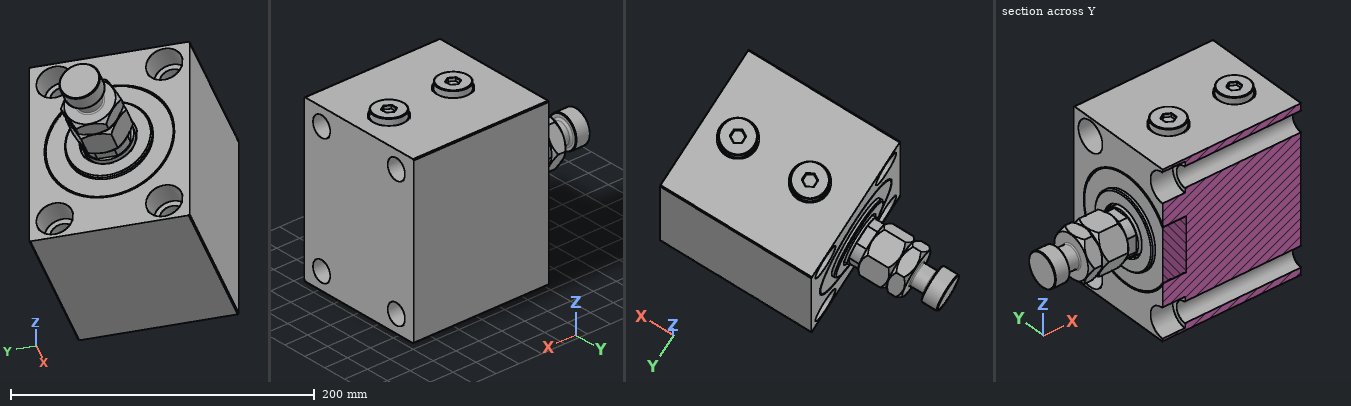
import cadquery as cq
import math

total_length = 190.0

block_length = 118.0
block_width = 110.0
block_height = 140.0
block_edge_chamfer = 0.8
block_front = total_length - block_length

mount_spacing_y = 75.0
mount_spacing_z = 110.0
mount_hole_diameter = 17.3
mount_counterbore_diameter = 25.0
mount_counterbore_depth = 19.0

gland_diameter = 87.4
gland_depth = 20.0
gland_seat_chamfer = 1.0
gland_collar_diameter = 60.0
gland_collar_height = 3.0
gland_collar_chamfer = 1.0
wiper_recess_diameter = 39.5
gland_front = block_front - gland_collar_height
gland_back = block_front + gland_depth

rod_diameter = 36.1
rod_neck_diameter = 34.8
rod_flats = 32.0
rod_front = 59.3
rod_shoulder = 67.3

head_diameter = 28.0
head_length = 12.5
head_chamfer = 0.5
neck_diameter = 18.0
neck_head_fillet = 1.7
neck_hex_fillet = 1.0
hex_flats = 36.0
hex_end_diameter = 35.3
short_hex_front = 24.9
long_hex_front = 37.0

plug_diameter = 25.8
plug_height = 5.0
plug_depth = 9.5
plug_chamfer = 0.5
plug_seat_diameter = 28.1
plug_seat_depth = 1.0
plug_socket_flats = 8.7
plug_socket_chamfer = 0.4
plug_socket_depth = 2.8
first_plug_x = block_front + 35.7
plug_spacing = 56.0
plug_positions = [first_plug_x, first_plug_x + plug_spacing]
block_top = block_height / 2


def x_cylinder(diameter, start, end):
    """Cylinder on the rod axis from X = start to X = end."""
    return cq.Workplane("YZ", origin=(start, 0, 0)).circle(diameter / 2).extrude(end - start)


def z_cylinder(diameter, x, bottom, top):
    """Upright cylinder at (x, 0) from Z = bottom to Z = top."""
    return cq.Workplane("XY", origin=(x, 0, bottom)).circle(diameter / 2).extrude(top - bottom)


def make_housing():
    block = (
        cq.Workplane("XY")
        .box(block_length, block_width, block_height)
        .translate((block_front + block_length / 2, 0, 0))
        .edges("|X")
        .chamfer(block_edge_chamfer)
    )
    block = (
        block.faces("<X")
        .workplane(origin=(block_front, 0, 0))
        .rarray(mount_spacing_y, mount_spacing_z, 2, 2)
        .cboreHole(mount_hole_diameter, mount_counterbore_diameter, mount_counterbore_depth)
    )
    gland_seat = x_cylinder(gland_diameter, block_front, gland_back)
    gland_radius = gland_diameter / 2
    seat_countersink = cq.Workplane(
        cq.Solid.makeCone(
            gland_radius + gland_seat_chamfer,
            gland_radius,
            gland_seat_chamfer,
            pnt=cq.Vector(block_front, 0, 0),
            dir=cq.Vector(1, 0, 0),
        )
    )
    block = block.cut(gland_seat).cut(seat_countersink)
    for x in plug_positions:
        block = block.cut(z_cylinder(plug_diameter, x, block_top - plug_depth, block_top))
        block = block.cut(z_cylinder(plug_seat_diameter, x, block_top - plug_seat_depth, block_top))
    return block


def make_gland():
    collar = (
        x_cylinder(gland_collar_diameter, gland_front, block_front)
        .faces("<X")
        .edges()
        .chamfer(gland_collar_chamfer)
    )
    gland = x_cylinder(gland_diameter, block_front, gland_back).union(collar)
    wiper_recess = x_cylinder(wiper_recess_diameter, gland_front, block_front)
    rod_bore = x_cylinder(rod_diameter, gland_front, gland_back)
    return gland.cut(wiper_recess).cut(rod_bore)


def make_rod():
    neck_length = rod_shoulder - rod_front
    flats = (
        cq.Workplane("YZ", origin=(rod_front, 0, 0))
        .rect(rod_flats, rod_flats)
        .extrude(neck_length)
    )
    neck = x_cylinder(rod_neck_diameter, rod_front, rod_shoulder).intersect(flats)
    return x_cylinder(rod_diameter, rod_shoulder, gland_back).union(neck)


def make_hexagon(start, end):
    """Hexagon along X with corners at +Y and -Y, chamfered at 45 degrees on both ends."""
    corner_diameter = hex_flats / math.cos(math.pi / 6)
    prism = cq.Workplane("YZ", origin=(start, 0, 0)).polygon(6, corner_diameter).extrude(end - start)
    envelope = (
        x_cylinder(corner_diameter, start, end)
        .faces("<X or >X")
        .edges()
        .chamfer((corner_diameter - hex_end_diameter) / 2)
    )
    return prism.intersect(envelope)


def make_coupling():
    head_radius = head_diameter / 2
    neck_radius = neck_diameter / 2
    stud = (
        cq.Workplane("XY")
        .lineTo(0, head_radius - head_chamfer)
        .lineTo(head_chamfer, head_radius)
        .lineTo(head_length - head_chamfer, head_radius)
        .lineTo(head_length, head_radius - head_chamfer)
        .lineTo(head_length, neck_radius + neck_head_fillet)
        .radiusArc((head_length + neck_head_fillet, neck_radius), -neck_head_fillet)
        .lineTo(short_hex_front - neck_hex_fillet, neck_radius)
        .radiusArc((short_hex_front, neck_radius + neck_hex_fillet), -neck_hex_fillet)
        .lineTo(short_hex_front, 0)
        .close()
        .revolve(360, (0, 0, 0), (1, 0, 0))
    )
    short_hex = make_hexagon(short_hex_front, long_hex_front)
    long_hex = make_hexagon(long_hex_front, rod_front)
    return stud.union(short_hex).union(long_hex)


def make_plug(x):
    top = block_top + plug_height
    plug = (
        z_cylinder(plug_diameter, x, block_top - plug_depth, top)
        .faces(">Z")
        .edges()
        .chamfer(plug_chamfer)
    )
    socket_corner_diameter = plug_socket_flats / math.cos(math.pi / 6)
    socket = (
        cq.Workplane("XY", origin=(x, 0, top))
        .transformed(rotate=(0, 0, 90))
        .polygon(6, socket_corner_diameter)
        .extrude(-plug_socket_depth)
    )
    return plug.cut(socket).faces(">Z").edges("%LINE").chamfer(plug_socket_chamfer)


housing = make_housing()
gland = make_gland()
rod = make_rod()
coupling = make_coupling()
plugs = [make_plug(x) for x in plug_positions]

result = cq.Compound.makeCompound(
    [housing.val(), gland.val(), rod.val(), coupling.val()] + [plug.val() for plug in plugs]
)